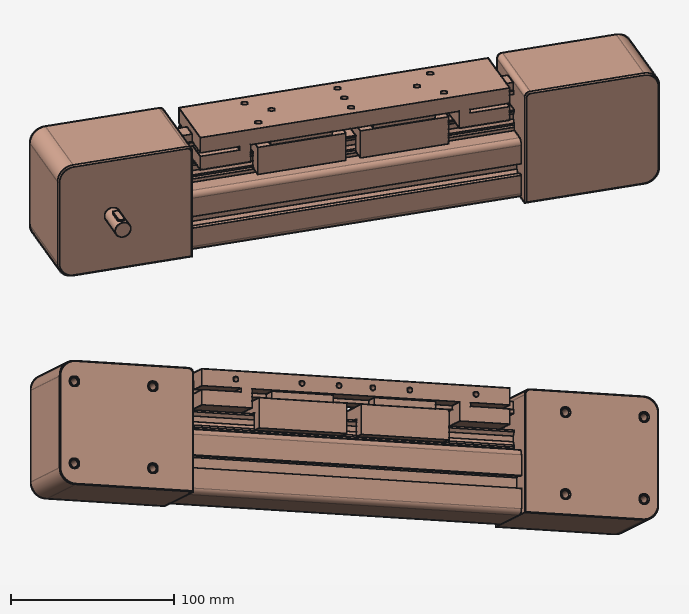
import cadquery as cq


TOTAL_LENGTH = 389.0
HOUSING_LENGTH = 87.0
HOUSING_HEIGHT = 77.0
HOUSING_X_MIN = -26.5
HOUSING_X_MAX = 28.0
PROFILE_LENGTH = TOTAL_LENGTH - 2 * HOUSING_LENGTH
HOUSING_INNER_Y = PROFILE_LENGTH / 2

OUTER_RADIUS = 10.0
INNER_RADIUS = 3.5
SCREW_SIDE_CHAMFER = 0.5
SHAFT_SIDE_CHAMFER = 1.0
SHAFT_Z = HOUSING_HEIGHT / 2
SHAFT_FROM_END = 35.0
SHAFT_Y = TOTAL_LENGTH / 2 - SHAFT_FROM_END
SCREW_SPACING = 51.0
SCREW_DIAMETER = 4.92
SCREW_COUNTERSINK = 6.5
SCREW_DEPTH = 12.0

SHAFT_DIAMETER = 10.0
SHAFT_LENGTH = 20.5
KEY_LENGTH = 12.0
KEY_WIDTH = 4.0
KEY_END_RADIUS = 1.95
KEY_PROJECTION = 1.0
KEY_END_GAP = 2.0

PROFILE_WIDTH = 41.0
PROFILE_HEIGHT = 40.5
PROFILE_RADIUS = 3.5
SLOT_Z = 20.0
SLOT_OPENING = 8.0
SLOT_LIP = 3.0
SLOT_CHAMBER_HEIGHT = 16.0
SLOT_TAPER_START = 4.5
SLOT_DEPTH = SLOT_TAPER_START + (SLOT_CHAMBER_HEIGHT - SLOT_OPENING) / 2

GUIDE_WIDTH = 15.0
GUIDE_HEAD_WIDTH = 14.0
GUIDE_WAIST_WIDTH = 11.0
GUIDE_SEAT_WIDTH = 13.6
GUIDE_TOP = 54.5
GUIDE_SEAT_Z = 42.8
GUIDE_SEAT_TOP = 44.0
GUIDE_BASE_TOP = 45.2
GUIDE_WAIST_BOTTOM = 47.5
GUIDE_WAIST_TOP = 51.0
GUIDE_HEAD_BOTTOM = 53.4

BELT_WIDTH = 12.5
BELT_THICKNESS = 2.4
BELT_TOP = 67.4
BELT_RIDGE_WIDTH = 10.0
BELT_BOTTOM = BELT_TOP - BELT_THICKNESS
BELT_RIDGE_TOP = 72.6

CARRIAGE_LENGTH = 200.0
CARRIAGE_WIDTH = PROFILE_WIDTH
CARRIAGE_TOP = 78.0
LEG_LENGTH = 32.5
LEG_BOTTOM = 55.5
CLAMP_SLOT_LENGTH = 25.5
BLOCK_LENGTH = 57.0
BLOCK_NECK_LENGTH = 40.0
BLOCK_WIDTH = 34.0
BLOCK_NECK_WIDTH = 33.0
BLOCK_BOTTOM = 44.0
BLOCK_SHOULDER = 62.8
BLOCK_Y = 33.2
GUIDE_CLEARANCE = 0.5
TOP_HOLE_DIAMETER = 4.13
SIDE_HOLE_DIAMETER = 3.24
TAPPED_DEPTH = 8.0
TOP_HOLE_X = 13.0
TOP_CORNER_Y = 60.0
TOP_CENTRE_Y = 47.0
SIDE_HOLE_YS = (11.0, 35.0, 78.0)
SIDE_HOLE_Z = 72.8

DRILL_TIP_RATIO = 0.6


def box(x_range, y_range, z_range):
    """Axis-parallel box between the given limits."""
    sizes = [high - low for low, high in (x_range, y_range, z_range)]
    corner = (x_range[0], y_range[0], z_range[0])
    return cq.Workplane("XY").box(*sizes, centered=False).translate(corner)


def centred(size, middle=0.0):
    """Limits of a length placed about a middle."""
    return (middle - size / 2, middle + size / 2)


def drilled_hole(point, direction, diameter, depth):
    """Cutting tool for a blind hole that ends in a drill point."""
    start = cq.Vector(*point)
    axis = cq.Vector(*direction)
    radius = diameter / 2
    bore = cq.Solid.makeCylinder(radius, depth, start, axis)
    tip = cq.Solid.makeCone(radius, 0, radius * DRILL_TIP_RATIO, start + axis * depth, axis)
    return cq.Workplane(bore).union(cq.Workplane(tip))


def screw_countersink(point):
    """Cutting tool for the 45 degree countersink of a housing screw hole."""
    outer = SCREW_COUNTERSINK / 2
    inner = SCREW_DIAMETER / 2
    cone = cq.Solid.makeCone(outer, inner, outer - inner, cq.Vector(*point), cq.Vector(1, 0, 0))
    return cq.Workplane(cone)


def make_housing(side):
    """End housing; side is +1 for the +Y end and -1 for the -Y end."""
    end_y = side * TOTAL_LENGTH / 2
    inner_y = side * HOUSING_INNER_Y
    body = box((HOUSING_X_MIN, HOUSING_X_MAX), sorted((inner_y, end_y)), (0, HOUSING_HEIGHT))
    outer_face, inner_face = (">Y", "<Y") if side > 0 else ("<Y", ">Y")
    body = body.faces(outer_face).edges("|X").fillet(OUTER_RADIUS)
    body = body.faces(inner_face).edges("|X and >Z").fillet(INNER_RADIUS)
    body = body.faces("<X").edges().chamfer(SCREW_SIDE_CHAMFER)
    body = body.faces(">X").edges().chamfer(SHAFT_SIDE_CHAMFER)
    for dy in centred(SCREW_SPACING):
        for dz in centred(SCREW_SPACING):
            point = (HOUSING_X_MIN, side * SHAFT_Y + dy, SHAFT_Z + dz)
            body = body.cut(drilled_hole(point, (1, 0, 0), SCREW_DIAMETER, SCREW_DEPTH))
            body = body.cut(screw_countersink(point))
    return body


def make_shaft():
    """Drive shaft stub with its key, square at the housing end and round at the free end."""
    shaft = (
        cq.Workplane("YZ", origin=(HOUSING_X_MAX, -SHAFT_Y, SHAFT_Z))
        .circle(SHAFT_DIAMETER / 2)
        .extrude(SHAFT_LENGTH)
    )
    key_end = HOUSING_X_MAX + SHAFT_LENGTH - KEY_END_GAP
    key = box(
        (key_end - KEY_LENGTH, key_end),
        centred(KEY_WIDTH, -SHAFT_Y),
        (SHAFT_Z, SHAFT_Z + SHAFT_DIAMETER / 2 + KEY_PROJECTION),
    )
    key = key.faces(">X").edges("|Z").fillet(KEY_END_RADIUS)
    return shaft.union(key)


def make_side_slot():
    """T-slot along the -X side of the profile, tapering to its floor."""
    side_x = -PROFILE_WIDTH / 2
    half_opening = SLOT_OPENING / 2
    half_chamber = SLOT_CHAMBER_HEIGHT / 2
    half_outline = [
        (0, half_opening),
        (SLOT_LIP, half_opening),
        (SLOT_LIP, half_chamber),
        (SLOT_TAPER_START, half_chamber),
        (SLOT_DEPTH, half_opening),
    ]
    upper = [(side_x + depth, SLOT_Z + rise) for depth, rise in half_outline]
    lower = [(side_x + depth, SLOT_Z - rise) for depth, rise in reversed(half_outline)]
    slot = cq.Workplane("XZ").polyline(upper + lower).close()
    return slot.extrude(PROFILE_LENGTH / 2, both=True)


def make_guide_rail():
    """Waisted linear guide rail standing on the profile."""
    right = [
        (GUIDE_WIDTH / 2, PROFILE_HEIGHT),
        (GUIDE_WIDTH / 2, GUIDE_SEAT_Z),
        (GUIDE_SEAT_WIDTH / 2, GUIDE_SEAT_TOP),
        (GUIDE_SEAT_WIDTH / 2, GUIDE_BASE_TOP),
        (GUIDE_WAIST_WIDTH / 2, GUIDE_WAIST_BOTTOM),
        (GUIDE_WAIST_WIDTH / 2, GUIDE_WAIST_TOP),
        (GUIDE_HEAD_WIDTH / 2, GUIDE_HEAD_BOTTOM),
        (GUIDE_HEAD_WIDTH / 2, GUIDE_TOP),
    ]
    left = [(-x, z) for x, z in reversed(right)]
    section = cq.Workplane("XZ").polyline(right + left).close()
    return section.extrude(PROFILE_LENGTH / 2, both=True)


def make_profile():
    """Extruded profile with rounded long edges, side slots and the guide rail."""
    profile = box(centred(PROFILE_WIDTH), centred(PROFILE_LENGTH), (0, PROFILE_HEIGHT))
    profile = profile.edges("|Y").fillet(PROFILE_RADIUS)
    slot = make_side_slot()
    profile = profile.cut(slot).cut(slot.mirror("YZ"))
    return profile.union(make_guide_rail())


def make_belt():
    """Flat belt between the housings, with a ridge in each gap beside the carriage."""
    belt = box(centred(BELT_WIDTH), centred(PROFILE_LENGTH), (BELT_BOTTOM, BELT_TOP))
    ridge = box(
        centred(BELT_RIDGE_WIDTH),
        (CARRIAGE_LENGTH / 2, HOUSING_INNER_Y),
        (BELT_TOP, BELT_RIDGE_TOP),
    )
    return belt.union(ridge).union(ridge.mirror("XZ"))


def make_guide_block(middle_y):
    """Guide block: a body up to the shoulder and a smaller neck up to the carriage plate."""
    body = box(centred(BLOCK_WIDTH), centred(BLOCK_LENGTH, middle_y), (BLOCK_BOTTOM, BLOCK_SHOULDER))
    neck = box(
        centred(BLOCK_NECK_WIDTH),
        centred(BLOCK_NECK_LENGTH, middle_y),
        (BLOCK_SHOULDER, BELT_TOP),
    )
    return body.union(neck)


def drill_carriage(carriage):
    """Tapped holes in the top and along the -X side of the carriage."""
    top_points = [(0, TOP_CENTRE_Y), (0, -TOP_CENTRE_Y), (0, 0)]
    for x in (-TOP_HOLE_X, TOP_HOLE_X):
        top_points += [(x, TOP_CORNER_Y), (x, 0), (x, -TOP_CORNER_Y)]
    for x, y in top_points:
        point = (x, y, CARRIAGE_TOP)
        carriage = carriage.cut(drilled_hole(point, (0, 0, -1), TOP_HOLE_DIAMETER, TAPPED_DEPTH))
    for distance in SIDE_HOLE_YS:
        for y in (-distance, distance):
            point = (-CARRIAGE_WIDTH / 2, y, SIDE_HOLE_Z)
            carriage = carriage.cut(drilled_hole(point, (1, 0, 0), SIDE_HOLE_DIAMETER, TAPPED_DEPTH))
    return carriage


def make_carriage():
    """Carriage plate with end legs, guide blocks, belt passage and tapped holes."""
    width = centred(CARRIAGE_WIDTH)
    end_y = CARRIAGE_LENGTH / 2
    carriage = box(width, centred(CARRIAGE_LENGTH), (BELT_TOP, CARRIAGE_TOP))
    leg = box(width, (end_y - LEG_LENGTH, end_y), (LEG_BOTTOM, BELT_TOP))
    clamp_slot = box(width, (end_y - CLAMP_SLOT_LENGTH, end_y), (BELT_BOTTOM, BELT_TOP))
    leg = leg.cut(clamp_slot)
    carriage = carriage.union(leg).union(leg.mirror("XZ"))
    for middle_y in (-BLOCK_Y, BLOCK_Y):
        carriage = carriage.union(make_guide_block(middle_y))
    guide_channel = box(
        centred(GUIDE_WIDTH + 2 * GUIDE_CLEARANCE),
        centred(CARRIAGE_LENGTH),
        (BLOCK_BOTTOM, GUIDE_TOP + GUIDE_CLEARANCE),
    )
    belt_channel = box(centred(BELT_WIDTH), centred(CARRIAGE_LENGTH), (BELT_BOTTOM, BELT_TOP))
    carriage = carriage.cut(guide_channel).cut(belt_channel)
    return drill_carriage(carriage)


idler_housing = make_housing(1)
drive_housing = make_housing(-1).union(make_shaft())
profile = make_profile()
belt = make_belt()
carriage = make_carriage()

result = cq.Compound.makeCompound(
    [idler_housing.val(), drive_housing.val(), profile.val(), belt.val(), carriage.val()]
)